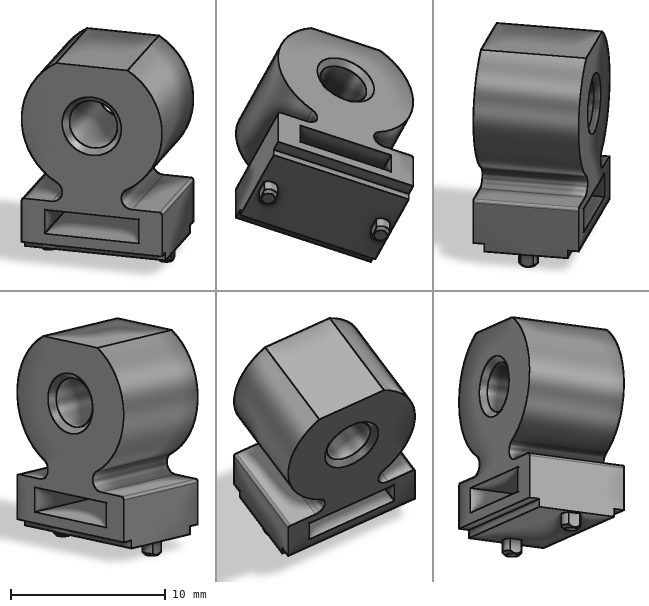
import cadquery as cq
import math

width = 9.53
depth = 7.0
height = 14.1

foot_bottom = 0.99
block_bottom = 1.52
slot_bottom = 2.25
slot_top = 3.9
block_top = 4.54
ring_center = 10.0

ring_radius = width / 2
bore_radius = 1.62
bore_chamfer = 0.38

neck_radius = 0.7
edge_radius = 0.2
slot_width = 6.4
foot_depth = 5.53

peg_spacing = 7.92
peg_diameter = 1.25
peg_width = 0.95
peg_chamfer = 0.2


def box_between(size_x, size_y, bottom, top):
    """Box centred on X and Y, spanning two heights."""
    return cq.Workplane("XY", origin=(0, 0, bottom)).rect(size_x, size_y).extrude(top - bottom)


def make_ring():
    """Round body along Y with a flat cut across its top."""
    disc = cq.Workplane("XZ", origin=(0, 0, ring_center)).circle(ring_radius).extrude(depth / 2, both=True)
    return disc.intersect(box_between(width, depth, 0, height))


def make_neck():
    """Web under the ring whose concave sides are tangent to the ring and the block top."""
    fillet_z = block_top + neck_radius
    center_distance = ring_radius + neck_radius
    fillet_x = math.sqrt(center_distance**2 - (ring_center - fillet_z) ** 2)
    ring_share = ring_radius / center_distance
    tangent_x = fillet_x * ring_share
    tangent_z = ring_center - (ring_center - fillet_z) * ring_share
    waist_x = fillet_x - neck_radius
    return (
        cq.Workplane("XZ")
        .moveTo(-fillet_x, block_top)
        .lineTo(fillet_x, block_top)
        .threePointArc((waist_x, fillet_z), (tangent_x, tangent_z))
        .lineTo(-tangent_x, tangent_z)
        .threePointArc((-waist_x, fillet_z), (-fillet_x, block_top))
        .close()
        .extrude(depth / 2, both=True)
    )


def make_base():
    """Block with rounded upper side edges, standing on a narrower foot."""
    block = box_between(width, depth, block_bottom, block_top)
    block = block.edges("|Y and >Z").fillet(edge_radius)
    return block.union(box_between(width, foot_depth, foot_bottom, block_bottom))


def make_peg(x):
    """Flatted peg below the foot with a conical lead-in at its tip."""
    pin = cq.Workplane("XY").circle(peg_diameter / 2).extrude(foot_bottom)
    pin = pin.faces("<Z").chamfer(peg_chamfer)
    return pin.intersect(box_between(peg_width, peg_diameter, 0, foot_bottom)).translate((x, 0, 0))


def make_bore():
    """Through hole along Y, countersunk at both ends."""
    mouth_radius = bore_radius + bore_chamfer
    half_profile = [
        (0, -depth / 2),
        (mouth_radius, -depth / 2),
        (bore_radius, -depth / 2 + bore_chamfer),
        (bore_radius, depth / 2 - bore_chamfer),
        (mouth_radius, depth / 2),
        (0, depth / 2),
    ]
    bore = cq.Workplane("XY").polyline(half_profile).close().revolve(360, (0, 0, 0), (0, 1, 0))
    return bore.translate((0, 0, ring_center))


result = make_base().union(make_neck()).union(make_ring())
for side in (-1, 1):
    result = result.union(make_peg(side * peg_spacing / 2))
result = result.cut(make_bore())
result = result.cut(box_between(slot_width, depth, slot_bottom, slot_top))